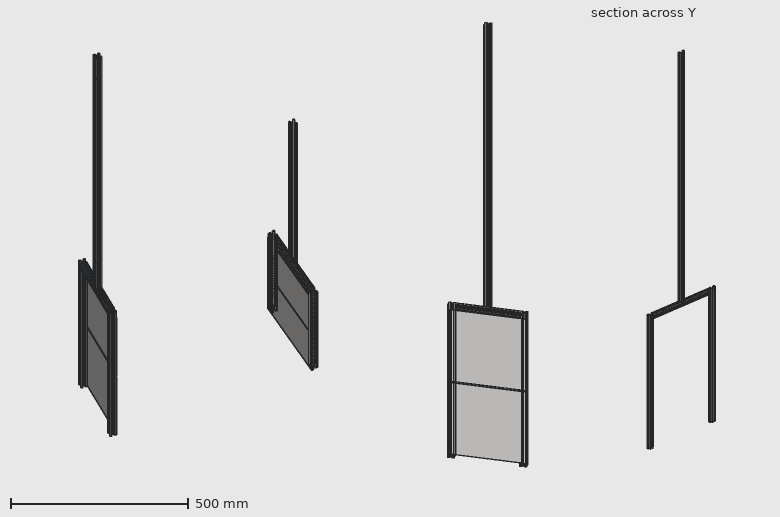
import cadquery as cq

total_height = 1405.0
frame_width = 230.0
frame_height = 490.0
total_depth = 21.0

sheet_thickness = 1.0
sheet_height = frame_width
sheet_gap = 4.0
sheet_count = 2

bar_size = total_depth - sheet_thickness
corner_radius = 1.0
slot_mouth_width = 9.1
slot_throat_width = 6.2
slot_chamber_width = 11.0
lip_thickness = 1.8
slot_depth = 6.0
chamber_taper = 3.5
bore_diameter = 5.0

bar_y = -sheet_thickness / 2


def slot_cutter(length):
    """T-slot along Z with a 45-degree flared mouth and a tapered floor,
    opening on the +X side of a bar centred on Z."""
    outer_x = bar_size / 2
    flare_x = outer_x - (slot_mouth_width - slot_throat_width) / 2
    lip_x = outer_x - lip_thickness
    floor_x = outer_x - slot_depth
    taper_x = floor_x + chamber_taper
    mouth_y = slot_mouth_width / 2
    throat_y = slot_throat_width / 2
    chamber_y = slot_chamber_width / 2
    floor_y = chamber_y - chamber_taper
    upper_half = [
        (outer_x, mouth_y),
        (flare_x, throat_y),
        (lip_x, throat_y),
        (lip_x, chamber_y),
        (taper_x, chamber_y),
        (floor_x, floor_y),
    ]
    lower_half = [(x, -y) for x, y in reversed(upper_half)]
    return cq.Workplane("XY").polyline(upper_half + lower_half).close().extrude(length)


def slotted_bar(length):
    """Square bar along +Z with a T-slot in each side and a round central bore."""
    bar = cq.Workplane("XY").rect(bar_size, bar_size).extrude(length)
    bar = bar.edges("|Z").fillet(corner_radius)
    slot = slot_cutter(length)
    for quarter_turn in range(4):
        bar = bar.cut(slot.rotate((0, 0, 0), (0, 0, 1), 90 * quarter_turn))
    bore = cq.Workplane("XY").circle(bore_diameter / 2).extrude(length)
    return bar.cut(bore)


leg_x = (frame_width - bar_size) / 2
leg = slotted_bar(frame_height)
frame = leg.translate((-leg_x, bar_y, 0)).union(leg.translate((leg_x, bar_y, 0)))

cross_length = frame_width - 2 * bar_size
cross_bar = slotted_bar(cross_length).rotate((0, 0, 0), (0, 1, 0), 90)
cross_bar = cross_bar.translate((-cross_length / 2, bar_y, frame_height - bar_size / 2))
frame = frame.union(cross_bar)

post = slotted_bar(total_height - frame_height).translate((0, bar_y, frame_height))
result = frame.union(post)

sheet = cq.Workplane("XY").box(frame_width, sheet_thickness, sheet_height, centered=(True, False, False))
sheet_y = bar_y + bar_size / 2
for row in range(sheet_count):
    result = result.union(sheet.translate((0, sheet_y, row * (sheet_height + sheet_gap))))